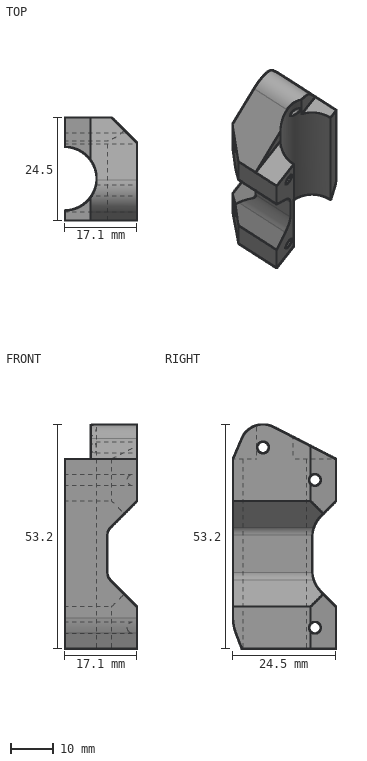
import cadquery as cq
import math

width = 17.11
y_front = -9.95
y_back = 14.5
body_height = 45.0
total_height = 53.2

bore_radius = 7.5
hole_diameter = 2.7

head_thickness = 11.0
peak_y = -2.8
peak_radius = 5.5
peak_z = total_height - peak_radius

flange_hole_y = 9.5
flange_hole_heights = (5.0, 40.0)

bevel_depth = 2.1
bevel_height = 5.5
bevel_blend_radius = 10.0

corner_chamfer = 6.0

notch_bottom_z = 10.0
notch_top_z = 35.0
back_notch_depth = 5.6
back_notch_radius = 7.0
side_notch_depth = 7.0
side_notch_radius = 2.5


def tangent_point(corner_y, corner_z, side):
    """Point where a line from a corner touches the peak circle; side is +1 (back) or -1 (front)."""
    offset_y = corner_y - peak_y
    offset_z = corner_z - peak_z
    bearing = math.atan2(offset_z, offset_y)
    spread = math.acos(peak_radius / math.hypot(offset_y, offset_z))
    angle = bearing + side * spread
    return (peak_y + peak_radius * math.cos(angle), peak_z + peak_radius * math.sin(angle))


def make_body():
    outline = (
        cq.Workplane("YZ")
        .moveTo(y_back, 0)
        .lineTo(y_back, body_height)
        .lineTo(y_front, body_height)
        .lineTo(y_front, bevel_height)
        .lineTo(y_front + bevel_depth, 0)
        .close()
    )
    body = outline.extrude(width)
    bevel_edge = cq.selectors.NearestToPointSelector((width / 2, y_front, bevel_height))
    return body.edges(bevel_edge).fillet(bevel_blend_radius)


def make_head():
    return (
        cq.Workplane("YZ", origin=(width - head_thickness, 0, 0))
        .moveTo(y_front, body_height)
        .lineTo(y_back, body_height)
        .lineTo(*tangent_point(y_back, body_height, 1))
        .threePointArc((peak_y, total_height), tangent_point(y_front, body_height, -1))
        .close()
        .extrude(head_thickness)
    )


def notch_cutter(plane, face_position, depth, floor_radius, length):
    """Trapezoidal notch cut inward from face_position, with rounded floor corners."""
    floor = face_position - depth
    floor_bottom = notch_bottom_z + depth
    floor_top = notch_top_z - depth
    profile = (
        cq.Sketch()
        .segment((face_position, notch_bottom_z), (floor, floor_bottom))
        .segment((floor, floor_top))
        .segment((face_position, notch_top_z))
        .close()
        .assemble()
        .vertices("<X")
        .fillet(floor_radius)
    )
    return plane.placeSketch(profile).extrude(length)


def corner_cutter():
    return (
        cq.Workplane("XY")
        .moveTo(width, y_back)
        .lineTo(width - corner_chamfer, y_back)
        .lineTo(width, y_back - corner_chamfer)
        .close()
        .extrude(total_height)
    )


def cross_hole(y, z):
    return cq.Workplane("YZ").center(y, z).circle(hole_diameter / 2).extrude(width)


def make_part():
    part = make_body().union(make_head())
    part = part.cut(cq.Workplane("XY").circle(bore_radius).extrude(total_height))

    part = part.cut(corner_cutter())
    across_x = cq.Workplane("YZ")
    part = part.cut(notch_cutter(across_x, y_back, back_notch_depth, back_notch_radius, width))
    from_back = cq.Workplane("XZ", origin=(0, y_back, 0))
    part = part.cut(notch_cutter(from_back, width, side_notch_depth, side_notch_radius, y_back - y_front))

    part = part.cut(cross_hole(peak_y, peak_z))
    for z in flange_hole_heights:
        part = part.cut(cross_hole(flange_hole_y, z))
    return part


result = make_part()